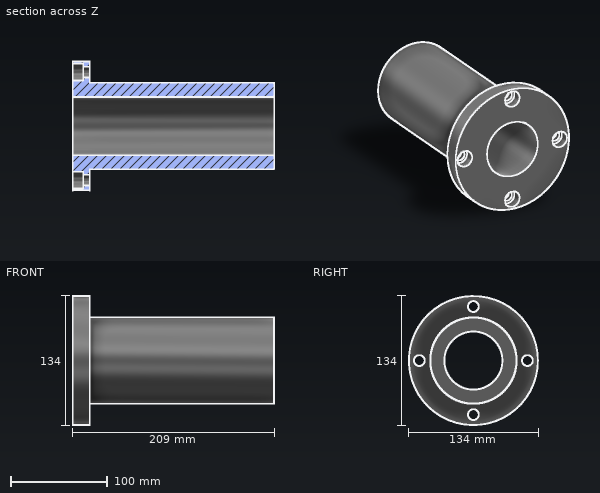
import cadquery as cq

total_length = 209.0
flange_diameter = 134.0
flange_thickness = 18.0
tube_diameter = 90.0
bore_diameter = 60.0
end_chamfer = 0.5

bolt_count = 4
bolt_circle_diameter = 112.0
bolt_hole_diameter = 11.0
counterbore_diameter = 17.0
counterbore_depth = 11.0


def make_body():
    """Flange and tube, with the free end of the tube chamfered."""
    flange = cq.Workplane("YZ").circle(flange_diameter / 2).extrude(flange_thickness)
    tube = cq.Workplane("YZ").circle(tube_diameter / 2).extrude(total_length)
    tube = tube.faces(">X").edges().chamfer(end_chamfer)
    return flange.union(tube)


def cut_bore(body):
    """Plain bore through the full length."""
    bore = cq.Workplane("YZ").circle(bore_diameter / 2).extrude(total_length)
    return body.cut(bore)


def cut_bolt_holes(body):
    """Counterbored holes through the flange, sunk from its outer face."""
    pattern = cq.Workplane("YZ").polarArray(bolt_circle_diameter / 2, 0, 360, bolt_count)
    holes = pattern.circle(bolt_hole_diameter / 2).extrude(flange_thickness)
    counterbores = pattern.circle(counterbore_diameter / 2).extrude(counterbore_depth)
    return body.cut(holes).cut(counterbores)


result = cut_bolt_holes(cut_bore(make_body()))